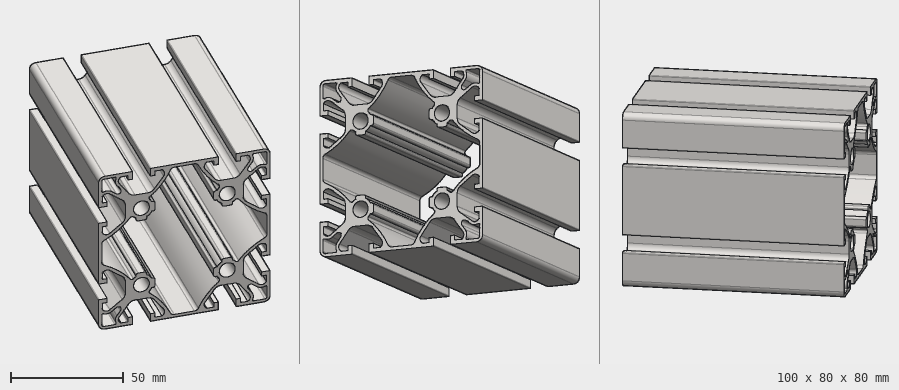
import cadquery as cq
import math

LENGTH = 100.0
SIDE = 80.0
HALF = SIDE / 2
CORNER_RADIUS = 3.0
SKIN = 1.5
WEB = 1.4

PITCH = 40.0
AXIS = (SIDE - PITCH) / 2
MOUTH_HALF = 4.1
LIP_HALF = 6.25
LIP_DEPTH = 4.0
LIP_EDGE_RADIUS = 0.3
UNDERCUT_DEPTH = 1.8
SLOT_DEPTH = 12.5
SLOT_END_RADIUS = 2.3
SLOT_END_HALF = 8.45
SLOT_END_DEPTH = 3.85
SLOT_FLOOR_RADIUS = 3.7
FLANK_ANGLE = math.radians(53.3)

POCKET_CORNER_RADIUS = 1.0
POCKET_NECK_RADIUS = 0.6
POCKET_TIP_CENTER = 9.1

BORE_DIAMETER = 7.4
TUBE_RADIUS = 5.4
KEY_HALF_WIDTH = 2.5
KEY_REACH = 6.35
KEY_EDGE_RADIUS = 1.0

WEB_TOP_U = 34.0
WEB_BOW = 1.0
GROOVE_TOP = (24.0, 14.7)
GROOVE_BOTTOM_DU = 3.9
GROOVE_BOW = 0.35
HOLLOW_CORNER_RADIUS = 2.0


def section():
    """Sketch plane at the end face, with its origin in the outer corner."""
    return cq.Workplane("YZ", origin=(0, -HALF, -HALF))


def soften(body, u, v, radius):
    """Fillet the lengthwise edge at section position (u, v)."""
    point = (LENGTH / 2, u - HALF, v - HALF)
    return body.edges("|X").edges(cq.NearestToPointSelector(point)).fillet(radius)


def around(body):
    """The body repeated on the four sides."""
    copies = cq.Workplane("YZ")
    for quarter in range(4):
        copies = copies.add(body.rotate((0, 0, 0), (1, 0, 0), 90 * quarter))
    return copies


def flank_offset(distance):
    """Step of the given length from the slot end center, square to the flank."""
    return distance * math.sin(FLANK_ANGLE), distance * math.cos(FLANK_ANGLE)


def slot(axis):
    """T-slot with hooked lips, rounded ends and sloping flanks."""
    du, dv = flank_offset(SLOT_END_RADIUS)
    flank_half = SLOT_END_HALF + du
    flank_depth = SLOT_END_DEPTH + dv
    floor_half = flank_half - (SLOT_DEPTH - flank_depth) / math.tan(FLANK_ANGLE)
    rise = SLOT_END_DEPTH - UNDERCUT_DEPTH
    ceiling_half = SLOT_END_HALF + math.sqrt(SLOT_END_RADIUS**2 - rise**2)
    end_half = SLOT_END_HALF + SLOT_END_RADIUS
    body = (
        section()
        .moveTo(axis - MOUTH_HALF, 0)
        .lineTo(axis - MOUTH_HALF, LIP_DEPTH)
        .lineTo(axis - LIP_HALF, LIP_DEPTH)
        .lineTo(axis - LIP_HALF, UNDERCUT_DEPTH)
        .lineTo(axis - ceiling_half, UNDERCUT_DEPTH)
        .threePointArc((axis - end_half, SLOT_END_DEPTH), (axis - flank_half, flank_depth))
        .lineTo(axis - floor_half, SLOT_DEPTH)
        .lineTo(axis + floor_half, SLOT_DEPTH)
        .lineTo(axis + flank_half, flank_depth)
        .threePointArc((axis + end_half, SLOT_END_DEPTH), (axis + ceiling_half, UNDERCUT_DEPTH))
        .lineTo(axis + LIP_HALF, UNDERCUT_DEPTH)
        .lineTo(axis + LIP_HALF, LIP_DEPTH)
        .lineTo(axis + MOUTH_HALF, LIP_DEPTH)
        .lineTo(axis + MOUTH_HALF, 0)
        .close()
        .extrude(LENGTH)
    )
    for side in (-1, 1):
        body = soften(body, axis + side * floor_half, SLOT_DEPTH, SLOT_FLOOR_RADIUS)
        body = soften(body, axis + side * LIP_HALF, UNDERCUT_DEPTH, LIP_EDGE_RADIUS)
    return body


def corner_pocket():
    """Hollow behind an outer corner, wrapped around the two slot ends beside it."""
    center_u = AXIS - SLOT_END_HALF
    center_v = SLOT_END_DEPTH
    radius = SLOT_END_RADIUS + WEB
    drop = center_v - SKIN
    neck = center_u - math.sqrt(radius**2 - drop**2)
    near = center_u - radius
    du, dv = flank_offset(radius)
    flank = (center_u - du, center_v + dv)
    tip_center = POCKET_TIP_CENTER
    across = (center_u - tip_center) * math.sin(FLANK_ANGLE)
    down = (tip_center - center_v) * math.cos(FLANK_ANGLE)
    tip_radius = across + down - radius
    tip_du, tip_dv = flank_offset(tip_radius)
    tip = (tip_center + tip_du, tip_center - tip_dv)
    apex = tip_center + tip_radius / math.sqrt(2)
    body = (
        section()
        .moveTo(SKIN, SKIN)
        .lineTo(neck, SKIN)
        .threePointArc((near, center_v), flank)
        .lineTo(*tip)
        .threePointArc((apex, apex), tip[::-1])
        .lineTo(*flank[::-1])
        .threePointArc((center_v, near), (SKIN, neck))
        .close()
        .extrude(LENGTH)
    )
    body = soften(body, SKIN, SKIN, POCKET_CORNER_RADIUS)
    body = soften(body, neck, SKIN, POCKET_NECK_RADIUS)
    return soften(body, SKIN, neck, POCKET_NECK_RADIUS)


def central_hollow_eighth():
    """One eighth of the central hollow, from a mid-plane to the section diagonal."""
    run = WEB_TOP_U - GROOVE_TOP[0]
    fall = GROOVE_TOP[1] - SKIN
    chord = math.hypot(run, fall)
    web_mid = (
        GROOVE_TOP[0] + run / 2 + WEB_BOW * fall / chord,
        SKIN + fall / 2 + WEB_BOW * run / chord,
    )
    groove_dv = math.sqrt(TUBE_RADIUS**2 - GROOVE_BOTTOM_DU**2)
    groove_bottom = (AXIS + GROOVE_BOTTOM_DU, AXIS - groove_dv)
    groove_mid = (
        (GROOVE_TOP[0] + groove_bottom[0]) / 2 - GROOVE_BOW,
        (GROOVE_TOP[1] + groove_bottom[1]) / 2,
    )
    key_root = AXIS + math.sqrt(TUBE_RADIUS**2 - KEY_HALF_WIDTH**2)
    key_face = AXIS + KEY_REACH
    on_diagonal = AXIS + TUBE_RADIUS / math.sqrt(2)
    key_angle = math.asin(KEY_HALF_WIDTH / TUBE_RADIUS)
    groove_angle = math.atan2(groove_dv, GROOVE_BOTTOM_DU)

    def on_tube(angle):
        return AXIS + TUBE_RADIUS * math.cos(angle), AXIS + TUBE_RADIUS * math.sin(angle)

    body = (
        section()
        .moveTo(HALF, HALF)
        .lineTo(HALF, SKIN)
        .lineTo(WEB_TOP_U, SKIN)
        .threePointArc(web_mid, GROOVE_TOP)
        .threePointArc(groove_mid, groove_bottom)
        .threePointArc(on_tube(-(groove_angle + key_angle) / 2), (key_root, AXIS - KEY_HALF_WIDTH))
        .lineTo(key_face, AXIS - KEY_HALF_WIDTH)
        .lineTo(key_face, AXIS + KEY_HALF_WIDTH)
        .lineTo(key_root, AXIS + KEY_HALF_WIDTH)
        .threePointArc(on_tube((key_angle + math.pi / 4) / 2), (on_diagonal, on_diagonal))
        .close()
        .extrude(LENGTH)
    )
    body = soften(body, WEB_TOP_U, SKIN, HOLLOW_CORNER_RADIUS)
    for side in (-1, 1):
        body = soften(body, key_face, AXIS + side * KEY_HALF_WIDTH, KEY_EDGE_RADIUS)
    return body


def cut_all(body, tools):
    for tool in tools.vals():
        body = body.cut(cq.Workplane(tool))
    return body


bar = section().rect(SIDE, SIDE, centered=False).extrude(LENGTH)
bar = bar.edges("|X").fillet(CORNER_RADIUS)

eighth = central_hollow_eighth()
hollow = eighth.union(eighth.mirror("XZ"))
bore = section().center(AXIS, AXIS).circle(BORE_DIAMETER / 2).extrude(LENGTH)

for void in (slot(AXIS), slot(AXIS + PITCH), corner_pocket(), hollow, bore):
    bar = cut_all(bar, around(void))

bar = bar.clean()
for axis in (AXIS, AXIS + PITCH):
    for edge in (axis - MOUTH_HALF, axis + MOUTH_HALF):
        for face in (0, SIDE):
            bar = soften(bar, edge, face, LIP_EDGE_RADIUS)
            bar = soften(bar, face, edge, LIP_EDGE_RADIUS)

result = bar